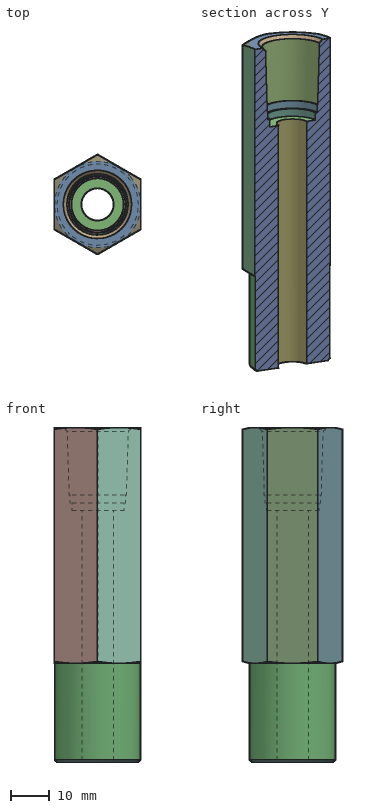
import cadquery as cq
import math

overall_length = 85.85
across_flats = 22.225

spigot_length = 25.4
spigot_diameter = 22.1
spigot_chamfer = 0.635

end_circle_diameter = 22.2
end_chamfer_angle = 15

mouth_diameter = 17.5
taper_top_diameter = 15.7
taper_bottom_diameter = 14.68
taper_ratio = 1 / 16
relief_diameter = 14.33
relief_length = 2.0
seat_diameter = 13.35
seat_length = 2.0
through_diameter = 8.2

mouth_depth = (mouth_diameter - taper_top_diameter) / 2
taper_length = (taper_top_diameter - taper_bottom_diameter) / taper_ratio
taper_top_z = overall_length - mouth_depth
taper_bottom_z = taper_top_z - taper_length
relief_bottom_z = taper_bottom_z - relief_length
seat_z = relief_bottom_z - seat_length

hex_sides = 6
across_corners = across_flats / math.cos(math.pi / hex_sides)


def revolve_profile(points):
    """Turn a closed profile of (radius, height) points about the Z axis."""
    return cq.Workplane("XZ").polyline(points).close().revolve(360, (0, 0, 0), (0, 1, 0))


def make_hexagon():
    """Hexagon with two corners on the Y axis and conical chamfers at both ends."""
    prism = (
        cq.Workplane("XY", origin=(0, 0, spigot_length))
        .transformed(rotate=(0, 0, 90))
        .polygon(hex_sides, across_corners)
        .extrude(overall_length - spigot_length)
    )
    end_radius = end_circle_diameter / 2
    envelope_radius = across_corners
    cone_drop = (envelope_radius - end_radius) * math.tan(math.radians(end_chamfer_angle))
    envelope = revolve_profile([
        (0, spigot_length),
        (end_radius, spigot_length),
        (envelope_radius, spigot_length + cone_drop),
        (envelope_radius, overall_length - cone_drop),
        (end_radius, overall_length),
        (0, overall_length),
    ])
    return prism.intersect(envelope)


def make_spigot():
    """Round lower end with a chamfered bottom rim."""
    return (
        cq.Workplane("XY")
        .circle(spigot_diameter / 2)
        .extrude(spigot_length)
        .faces("<Z")
        .chamfer(spigot_chamfer)
    )


def make_bore():
    """Countersunk, tapered and stepped bore, open at both ends."""
    return revolve_profile([
        (0, overall_length),
        (mouth_diameter / 2, overall_length),
        (taper_top_diameter / 2, taper_top_z),
        (taper_bottom_diameter / 2, taper_bottom_z),
        (relief_diameter / 2, taper_bottom_z),
        (relief_diameter / 2, relief_bottom_z),
        (seat_diameter / 2, relief_bottom_z),
        (seat_diameter / 2, seat_z),
        (through_diameter / 2, seat_z),
        (through_diameter / 2, 0),
        (0, 0),
    ])


result = make_spigot().union(make_hexagon()).cut(make_bore())